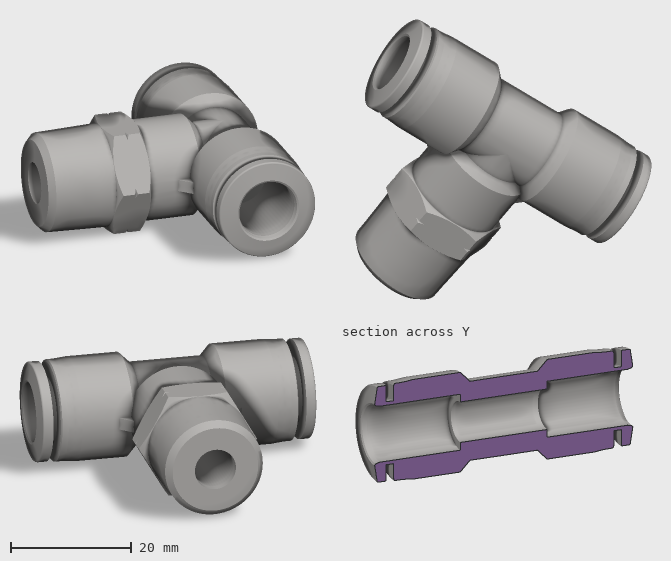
import cadquery as cq
import math

tube_radius = 6.95
socket_radius = 8.75
socket_start = 8.0
shoulder_start = socket_start - (socket_radius - tube_radius)
taper_start = 16.75
taper_end = 19.05
rim_radius = 8.54
rim_end = 20.3
rim_chamfer_length = 0.17
rim_chamfer_height = 0.4
neck_radius = 5.55
collar_start = 21.6
collar_radius = 8.4
collar_fillet = 0.3
collar_front = 23.05
run_end = 23.8

passage_radius = 3.5
bore_stop = socket_start
bore_radius = 4.85
lead_in_radius = 5.05
lead_in_end = 22.8
lip_radius = 5.35
lip_depth = 0.2

branch_radius = 8.5
branch_start = 6.6
branch_cone_start = branch_start - (branch_radius - tube_radius)
hex_start = 15.45
hex_end = 21.6
hex_across_flats = 17.5
hex_across_corners = hex_across_flats / math.cos(math.radians(30))
hex_crown_radius = 8.7
hex_crown_angle = 30
notch_depth = 0.46
notch_width = 0.5
thread_end = 33.0
thread_radius = 8.68
thread_taper = 1 / 16
thread_chamfer = 1.05

gusset_thickness = 2.0
gusset_leg = 2.0


def revolve_about_x(profile):
    return profile.close().revolve(360, (0, 0, 0), (1, 0, 0))


def revolve_about_y(profile):
    return profile.close().revolve(360, (0, 0, 0), (0, 1, 0))


def half_run():
    """Outside of the +X half of the run."""
    profile = (
        cq.Workplane("XY")
        .lineTo(0, tube_radius)
        .lineTo(shoulder_start, tube_radius)
        .lineTo(socket_start, socket_radius)
        .lineTo(taper_start, socket_radius)
        .lineTo(taper_end, rim_radius)
        .lineTo(rim_end - rim_chamfer_length, rim_radius)
        .lineTo(rim_end, rim_radius - rim_chamfer_height)
        .lineTo(rim_end, neck_radius)
        .lineTo(collar_start, neck_radius)
        .lineTo(collar_start, collar_radius)
        .lineTo(collar_front, collar_radius)
        .tangentArcPoint((collar_fillet, -collar_fillet))
        .lineTo(run_end, lip_radius)
        .lineTo(run_end, 0)
    )
    return revolve_about_x(profile)


def half_run_bore():
    """Tube socket with a tapered lead-in, opening into the through passage."""
    profile = (
        cq.Workplane("XY")
        .lineTo(0, passage_radius)
        .lineTo(bore_stop, passage_radius)
        .lineTo(bore_stop, bore_radius)
        .lineTo(lead_in_end, bore_radius)
        .lineTo(run_end - lip_depth, lead_in_radius)
        .lineTo(run_end, lip_radius)
        .lineTo(run_end, 0)
    )
    return revolve_about_x(profile)


def with_mirror(half):
    return half.union(half.mirror("YZ"))


def branch_stem():
    profile = (
        cq.Workplane("XY")
        .lineTo(tube_radius, 0)
        .lineTo(tube_radius, -branch_cone_start)
        .lineTo(branch_radius, -branch_start)
        .lineTo(branch_radius, -hex_end)
        .lineTo(0, -hex_end)
    )
    return revolve_about_y(profile)


def thread():
    chamfer_start = thread_end - thread_chamfer
    small_radius = thread_radius - (chamfer_start - hex_end) * thread_taper / 2
    profile = (
        cq.Workplane("XY")
        .moveTo(0, -hex_end)
        .lineTo(thread_radius, -hex_end)
        .lineTo(small_radius, -chamfer_start)
        .lineTo(small_radius - thread_chamfer, -thread_end)
        .lineTo(0, -thread_end)
    )
    return revolve_about_y(profile)


def hexagon():
    """Nut with crowned ends and a V groove that only nicks its six corners."""
    corner_radius = hex_across_corners / 2
    crown = (corner_radius - hex_crown_radius) * math.tan(math.radians(hex_crown_angle))
    middle = (hex_start + hex_end) / 2
    half_notch = notch_width / 2
    envelope = revolve_about_y(
        cq.Workplane("XY")
        .moveTo(0, -hex_start)
        .lineTo(hex_crown_radius, -hex_start)
        .lineTo(corner_radius, -hex_start - crown)
        .lineTo(corner_radius, -middle + half_notch)
        .lineTo(corner_radius - notch_depth, -middle)
        .lineTo(corner_radius, -middle - half_notch)
        .lineTo(corner_radius, -hex_end + crown)
        .lineTo(hex_crown_radius, -hex_end)
        .lineTo(0, -hex_end)
    )
    prism = (
        cq.Workplane("XZ", origin=(0, -hex_start, 0))
        .polygon(6, hex_across_corners)
        .extrude(hex_end - hex_start)
    )
    return prism.intersect(envelope)


def half_gusset():
    """45 degree web on the +X side, rooted inside the run and the branch."""
    reach = branch_radius + gusset_leg
    drop = socket_radius + gusset_leg
    root_x = reach - 2 * gusset_leg
    root_y = drop - 2 * gusset_leg
    return (
        cq.Workplane("XY")
        .moveTo(root_x, -root_y)
        .lineTo(reach, -root_y)
        .lineTo(reach, -socket_radius)
        .lineTo(branch_radius, -drop)
        .lineTo(root_x, -drop)
        .close()
        .extrude(gusset_thickness / 2, both=True)
    )


def branch_passage():
    return cq.Workplane("XZ").circle(passage_radius).extrude(thread_end)


body = with_mirror(half_run()).union(branch_stem()).union(with_mirror(half_gusset()))
body = body.union(hexagon()).union(thread())
result = body.cut(with_mirror(half_run_bore())).cut(branch_passage())